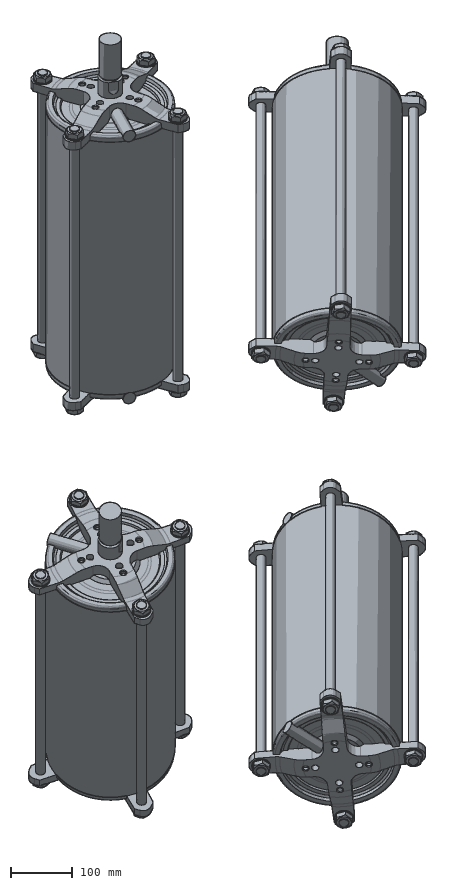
import cadquery as cq
import math

tube_bottom = 33.5
tube_top = 511.5
rod_top = 647.0

tube_dia = 210.0

flange_dia = tube_dia
flange_height = 4.0
rim_dia = 208.0
rim_inner_dia = 187.0
rim_round = 3.0
rim_height = 14.0
rim_wall_dia = 183.0
rim_wall_foot = 9.0
ledge_dia = 176.0
ledge_step_dia = 163.0
ledge_height = 6.5
channel_dia = 159.0
channel_inner_dia = 132.5
channel_height = 3.0
plateau_dia = 123.0
plateau_inner_dia = 97.0
plateau_height = 4.5
boss_dia = 84.0
boss_height = 10.0

hub_height = 33.0
lug_base = flange_height
lug_height = 19.5
lug_square = 211.0
arm_root_width = 40.0
arm_tip_width = 32.5
arm_reach = lug_square / math.sqrt(2)
lug_corner_radius = 14.0
hub_corner_radius = 21.0
slope_start = 63.0
slope_end = 96.5
slope_top_radius = 39.0
slope_foot_radius = 19.5

plain_hole_dia = 11.5
plain_hole_depth = 13.0
plain_hole_offset = 25.0
drilled_hole_dia = 8.5
drilled_hole_depth = 6.5
countersink_dia = 11.5
countersink_depth = 1.0
drilled_hole_offset = 36.0
drill_point_angle = 118.0

port_dia = 21.5
port_axis_height = 13.0
port_inner_end = 32.5
port_outer_end = lug_square / 2

tie_rod_dia = 16.0
tie_rod_offset = 87.0
tie_rod_top = 545.0
washer_dia = 30.5
washer_thickness = 2.0
nut_corner_dia = 30.5
nut_top_dia = 24.0
nut_height = 10.5
nut_chamfer_height = 2.5

rod_dia = 36.0
shank_dia = 40.0
undercut_dia = 30.5
shank_top = 575.0
undercut_top = 579.0
seat_depth = 26.0
flat_bottom = 559.0
flat_runout = 6.5
flat_distance = rod_dia

quadrants = [(1, 1), (-1, 1), (-1, -1), (1, -1)]


def diagonal_points(offset):
    return [(sx * offset, sy * offset) for sx, sy in quadrants]


def make_cap_disc():
    """Dished disc with a raised rim, standing on the end of the tube."""
    profile = [
        (0, 0),
        (flange_dia / 2, 0),
        (flange_dia / 2, flange_height),
        (rim_dia / 2, flange_height),
        (rim_dia / 2, rim_height),
        (rim_inner_dia / 2, rim_height),
        (rim_wall_dia / 2, rim_wall_foot),
        (ledge_dia / 2, ledge_height),
        (ledge_step_dia / 2, ledge_height),
        (channel_dia / 2, channel_height),
        (channel_inner_dia / 2, channel_height),
        (plateau_dia / 2, plateau_height),
        (plateau_inner_dia / 2, plateau_height),
        (boss_dia / 2, boss_height),
        (0, boss_height),
    ]
    disc = cq.Workplane("XZ").polyline(profile).close().revolve(360, (0, 0, 0), (0, 1, 0))
    outer_top_edge = cq.selectors.RadiusNthSelector(-1)
    return disc.faces(">Z").edges(outer_top_edge).fillet(rim_round)


def make_dome():
    """Revolved blank of the arms: flat hub, sloping shoulder and flat lugs."""
    drop_angle = math.atan2(hub_height - lug_height, slope_end - slope_start)
    top_setback = slope_top_radius * math.tan(drop_angle / 2)
    foot_setback = slope_foot_radius * math.tan(drop_angle / 2)

    def along_slope(start, height, distance):
        return (start + distance * math.cos(drop_angle), height - distance * math.sin(drop_angle))

    top_tangent = (slope_start - top_setback, hub_height)
    top_slope = along_slope(slope_start, hub_height, top_setback)
    foot_slope = along_slope(slope_end, lug_height, -foot_setback)
    foot_tangent = (slope_end + foot_setback, lug_height)
    return (
        cq.Workplane("XZ")
        .moveTo(0, lug_base)
        .lineTo(arm_reach, lug_base)
        .lineTo(arm_reach, lug_height)
        .lineTo(*foot_tangent)
        .radiusArc(foot_slope, slope_foot_radius)
        .lineTo(*top_slope)
        .radiusArc(top_tangent, -slope_top_radius)
        .lineTo(0, hub_height)
        .close()
        .revolve(360, (0, 0, 0), (0, 1, 0))
    )


def make_cross():
    """Prism of two crossed bars that narrow outward, with rounded inner corners."""
    bar = (
        cq.Workplane("XY")
        .polyline([
            (0, arm_root_width / 2),
            (arm_reach, arm_tip_width / 2),
            (arm_reach, -arm_tip_width / 2),
            (0, -arm_root_width / 2),
            (-arm_reach, -arm_tip_width / 2),
            (-arm_reach, arm_tip_width / 2),
        ])
        .close()
        .extrude(hub_height)
    )
    cross = bar.union(bar.rotate((0, 0, 0), (0, 0, 1), 90))
    inner_corners = cq.selectors.BoxSelector(
        (-arm_root_width, -arm_root_width, 0), (arm_root_width, arm_root_width, hub_height)
    )
    cross = cross.edges("|Z").edges(inner_corners).fillet(hub_corner_radius)
    return cross.rotate((0, 0, 0), (0, 0, 1), 45)


def make_spider():
    """Four arms on the diagonals, trimmed to a rounded square at the lugs."""
    lug_outline = (
        cq.Workplane("XY")
        .rect(lug_square, lug_square)
        .extrude(hub_height)
        .edges("|Z")
        .fillet(lug_corner_radius)
    )
    return make_dome().intersect(make_cross()).intersect(lug_outline)


def make_hub_holes():
    """Flat-bottomed holes and countersunk drilled holes with conical ends."""
    plain = (
        cq.Workplane("XY", origin=(0, 0, hub_height))
        .pushPoints(diagonal_points(plain_hole_offset))
        .circle(plain_hole_dia / 2)
        .extrude(-plain_hole_depth)
    )
    radius = drilled_hole_dia / 2
    point_depth = radius / math.tan(math.radians(drill_point_angle / 2))
    shoulder = hub_height - drilled_hole_depth
    drill = (
        cq.Workplane("XZ")
        .polyline([
            (0, hub_height),
            (countersink_dia / 2, hub_height),
            (radius, hub_height - countersink_depth),
            (radius, shoulder),
            (0, shoulder - point_depth),
        ])
        .close()
        .revolve(360, (0, 0, 0), (0, 1, 0))
    )
    holes = plain
    for x, y in diagonal_points(drilled_hole_offset):
        holes = holes.union(drill.translate((x, y, 0)))
    return holes


def make_port():
    return (
        cq.Workplane("YZ", origin=(port_inner_end, 0, port_axis_height))
        .circle(port_dia / 2)
        .extrude(port_outer_end - port_inner_end)
    )


def make_fastener():
    """Washer and chamfered hexagon nut seated on a lug."""
    washer_top = lug_height + washer_thickness
    washer = (
        cq.Workplane("XY", origin=(0, 0, lug_height)).circle(washer_dia / 2).extrude(washer_thickness)
    )
    nut = cq.Workplane("XY", origin=(0, 0, washer_top)).polygon(6, nut_corner_dia).extrude(nut_height)
    nut_top = washer_top + nut_height
    envelope = (
        cq.Workplane("XZ")
        .polyline([
            (0, washer_top),
            (nut_corner_dia / 2, washer_top),
            (nut_corner_dia / 2, nut_top - nut_chamfer_height),
            (nut_top_dia / 2, nut_top),
            (0, nut_top),
        ])
        .close()
        .revolve(360, (0, 0, 0), (0, 1, 0))
    )
    return washer.union(nut.intersect(envelope))


def make_cap():
    """Complete end cap, with its inner face at Z = 0 and its hub facing up."""
    cap = make_cap_disc().union(make_spider()).cut(make_hub_holes()).union(make_port())
    fastener = make_fastener()
    for x, y in diagonal_points(tie_rod_offset):
        cap = cap.union(fastener.translate((x, y, 0)))
    return cap


def make_rod_blank():
    """Turned piston rod: shank, undercut and rod end."""
    profile = [
        (0, tube_top + hub_height - seat_depth),
        (shank_dia / 2, tube_top + hub_height - seat_depth),
        (shank_dia / 2, shank_top),
        (undercut_dia / 2, shank_top),
        (undercut_dia / 2, undercut_top),
        (rod_dia / 2, undercut_top),
        (rod_dia / 2, rod_top),
        (0, rod_top),
    ]
    return cq.Workplane("XZ").polyline(profile).close().revolve(360, (0, 0, 0), (0, 1, 0))


def make_housing():
    """Tube with both end caps, tie rods and a seat for the piston rod."""
    tube = (
        cq.Workplane("XY", origin=(0, 0, tube_bottom))
        .circle(tube_dia / 2)
        .extrude(tube_top - tube_bottom)
    )
    tie_rods = (
        cq.Workplane("XY")
        .pushPoints(diagonal_points(tie_rod_offset))
        .circle(tie_rod_dia / 2)
        .extrude(tie_rod_top)
    )
    cap = make_cap()
    upper_cap = cap.translate((0, 0, tube_top))
    lower_cap = cap.mirror("XY").translate((0, 0, tube_bottom))
    return tube.union(upper_cap).union(lower_cap).union(tie_rods).cut(make_rod_blank())


def make_piston_rod():
    """Piston rod with two wrench flats that run out on a slope at the lower end."""
    flat_x = flat_distance / 2
    runout_x = shank_dia / 2
    flat_cutter = (
        cq.Workplane("XZ")
        .polyline([
            (flat_x, shank_top),
            (flat_x, flat_bottom),
            (runout_x, flat_bottom - flat_runout),
            (runout_x, shank_top),
        ])
        .close()
        .extrude(shank_dia / 2, both=True)
    )
    return make_rod_blank().cut(flat_cutter).cut(flat_cutter.mirror("YZ"))


housing = make_housing()
piston_rod = make_piston_rod()

result = cq.Compound.makeCompound([housing.val(), piston_rod.val()])